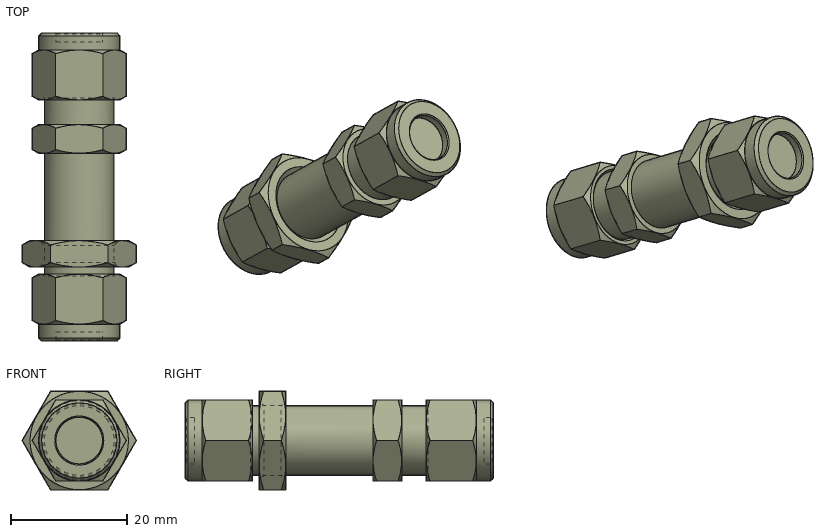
import cadquery as cq
import math

TOTAL_LENGTH = 53.0
HALF_LENGTH = TOTAL_LENGTH / 2

SHANK_DIAMETER = 12.0

HEX_ACROSS_FLATS = 14.0
JAM_NUT_ACROSS_FLATS = 17.0
CHAMFER_ANGLE = 30.0
CHAMFER_INSET = 0.05

COLLAR_LENGTH = 2.9
COLLAR_CHAMFER = 0.55
UNION_HEX_LENGTH = 8.65
UNION_COUNTERSINK = 0.3

BODY_HEX_LENGTH = 5.0
BODY_HEX_GAP = 4.2

JAM_NUT_LENGTH = 4.6
JAM_NUT_COUNTERSINK = 0.85
JAM_NUT_GAP = 1.15

SOCKET_DIAMETER = 8.0
SOCKET_DEPTH = 1.6
SOCKET_CHAMFER = 0.2

UNION_HEX_INNER_Y = HALF_LENGTH - COLLAR_LENGTH - UNION_HEX_LENGTH
BODY_HEX_START_Y = UNION_HEX_INNER_Y - BODY_HEX_GAP - BODY_HEX_LENGTH
JAM_NUT_START_Y = -UNION_HEX_INNER_Y + JAM_NUT_GAP


def cylinder(diameter, start_y, length):
    """Round bar along +Y that starts at start_y."""
    plane = cq.Workplane("XZ", origin=(0, start_y, 0))
    return plane.circle(diameter / 2).extrude(-length)


def chamfered_hexagon(across_flats, start_y, length):
    """Hexagonal bar along +Y, corners on the X axis, with both ends turned to a cone."""
    corner_radius = across_flats / math.sqrt(3)
    face_radius = across_flats / 2 - CHAMFER_INSET
    chamfer_depth = (corner_radius - face_radius) * math.tan(math.radians(CHAMFER_ANGLE))
    end_y = start_y + length

    plane = cq.Workplane("XZ", origin=(0, start_y, 0))
    hexagon = plane.polygon(6, 2 * corner_radius).extrude(-length)
    turned_envelope = (
        cq.Workplane("XY")
        .moveTo(0, start_y)
        .lineTo(face_radius, start_y)
        .lineTo(corner_radius, start_y + chamfer_depth)
        .lineTo(corner_radius, end_y - chamfer_depth)
        .lineTo(face_radius, end_y)
        .lineTo(0, end_y)
        .close()
        .revolve(360, (0, 0, 0), (0, 1, 0))
    )
    return hexagon.intersect(turned_envelope)


def countersink_ring(face_y, size):
    """Ring cutter around the shank, with a 45 degree flank that widens to the face at face_y.

    A positive size sinks it in the +Y direction, and a negative size in the -Y direction.
    """
    shank_radius = SHANK_DIAMETER / 2
    return (
        cq.Workplane("XY")
        .moveTo(shank_radius, face_y)
        .lineTo(shank_radius + abs(size), face_y)
        .lineTo(shank_radius, face_y + size)
        .close()
        .revolve(360, (0, 0, 0), (0, 1, 0))
    )


def make_union_nut():
    """Union nut of the +Y end: hexagon, round collar and tube socket."""
    hexagon = chamfered_hexagon(HEX_ACROSS_FLATS, UNION_HEX_INNER_Y, UNION_HEX_LENGTH)
    collar = cylinder(HEX_ACROSS_FLATS, HALF_LENGTH - COLLAR_LENGTH, COLLAR_LENGTH)
    collar = collar.faces(">Y").chamfer(COLLAR_CHAMFER)
    socket = cylinder(SOCKET_DIAMETER, HALF_LENGTH - SOCKET_DEPTH, SOCKET_DEPTH)
    nut = hexagon.union(collar).cut(socket)
    socket_rim = nut.faces(">Y").edges(cq.selectors.RadiusNthSelector(0))
    nut = socket_rim.chamfer(SOCKET_CHAMFER)
    return nut.cut(countersink_ring(UNION_HEX_INNER_Y, UNION_COUNTERSINK))


def make_fitting_body():
    """Shank, body hexagon and the two end nuts as one solid."""
    shank_end_y = UNION_HEX_INNER_Y + UNION_COUNTERSINK
    shank = cylinder(SHANK_DIAMETER, -shank_end_y, 2 * shank_end_y)
    body_hex = chamfered_hexagon(HEX_ACROSS_FLATS, BODY_HEX_START_Y, BODY_HEX_LENGTH)
    rear_nut = make_union_nut()
    front_nut = rear_nut.mirror("XZ")
    return shank.union(body_hex).union(rear_nut).union(front_nut)


def make_jam_nut():
    """Separate hexagonal nut with a bore that fits the shank, countersunk at both ends."""
    end_y = JAM_NUT_START_Y + JAM_NUT_LENGTH
    hexagon = chamfered_hexagon(JAM_NUT_ACROSS_FLATS, JAM_NUT_START_Y, JAM_NUT_LENGTH)
    nut = hexagon.cut(cylinder(SHANK_DIAMETER, JAM_NUT_START_Y, JAM_NUT_LENGTH))
    nut = nut.cut(countersink_ring(JAM_NUT_START_Y, JAM_NUT_COUNTERSINK))
    return nut.cut(countersink_ring(end_y, -JAM_NUT_COUNTERSINK))


fitting_body = make_fitting_body()
jam_nut = make_jam_nut()

result = cq.Compound.makeCompound([fitting_body.val(), jam_nut.val()])